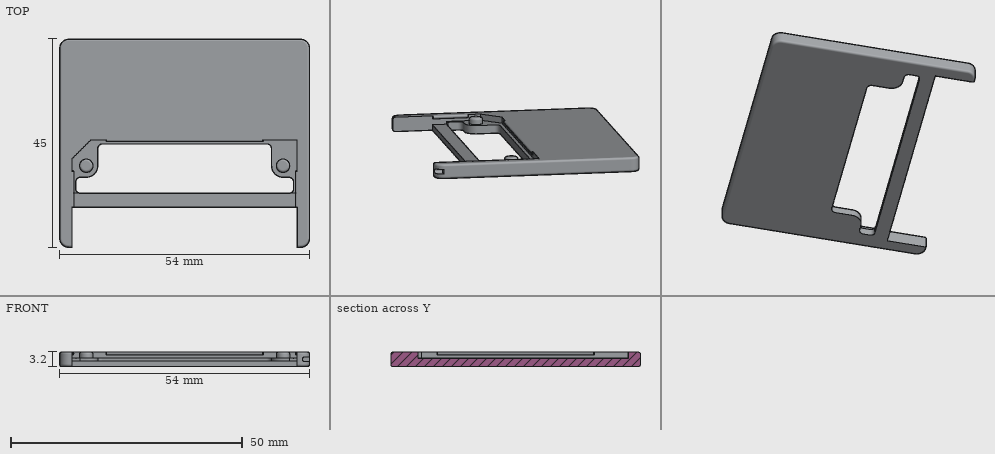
import cadquery as cq

WIDTH = 54.0
DEPTH = 45.0
THICKNESS = 3.2
CORNER_RADIUS = 2.0
RIM_FILLET = 0.5

BAY_HALF_WIDTH = 24.3
BAY_BACK_Y = 0.7
BAY_CORNER_CUT = 4.0
FLOOR_Z = 1.85

BAR_FRONT_Y = -13.85
BAR_BACK_Y = -10.75
BAR_HEIGHT = 1.25

PIN_X = 21.25
PIN_Y = -4.85
PIN_DIAMETER = 2.9
PIN_TIP_FILLET = 0.5
TAB_RADIUS = 2.5

WINDOW_BACK_Y = -0.15
WINDOW_HALF_WIDTH = 23.5
WINDOW_BACK_RADIUS = 1.0
WINDOW_SIDE_RADIUS = 1.0
WINDOW_FRONT_RADIUS = 0.9

BEAD_RADIUS = 0.35
BEAD_END_CHAMFER = 0.15
BACK_BEAD_LENGTH = 34.0
SIDE_BEAD_BACK_Y = -5.9

NOTCH_HEIGHT = 1.0
NOTCH_INNER_X = 25.4
NOTCH_DEPTH = 1.8

FRONT_Y = -DEPTH / 2
BEAD_Z = THICKNESS - BEAD_RADIUS


def make_plate():
    """Rounded rectangular plate with softened top and bottom rims."""
    plate = cq.Workplane("XY").box(WIDTH, DEPTH, THICKNESS, centered=(True, True, False))
    plate = plate.edges("|Z").fillet(CORNER_RADIUS)
    return plate.faces("<Z or >Z").edges().fillet(RIM_FILLET)


def make_block(y_front, y_back, z_bottom):
    """Cutter as wide as the bay, reaching from z_bottom to the plate top."""
    return cq.Workplane("XY").box(
        2 * BAY_HALF_WIDTH, y_back - y_front, THICKNESS - z_bottom, centered=(True, False, False)
    ).translate((0, y_front, z_bottom))


def make_bay():
    """Space above the floor, over the bar, and in front of the bar."""
    recess = make_block(FRONT_Y, BAY_BACK_Y, FLOOR_Z).edges("|Z and <X and >Y").chamfer(BAY_CORNER_CUT)
    above_bar = make_block(FRONT_Y, BAR_BACK_Y, BAR_HEIGHT)
    before_bar = make_block(FRONT_Y, BAR_FRONT_Y, 0)
    return recess.union(above_bar).union(before_bar)


def make_window():
    """Opening behind the bar, narrowed at the back by the two pin tabs."""
    tab_inner_x = PIN_X - TAB_RADIUS
    tab_front_y = PIN_Y - TAB_RADIUS
    window = (
        cq.Workplane("XY")
        .moveTo(-WINDOW_HALF_WIDTH, BAR_BACK_Y)
        .lineTo(WINDOW_HALF_WIDTH, BAR_BACK_Y)
        .lineTo(WINDOW_HALF_WIDTH, tab_front_y)
        .lineTo(tab_inner_x, tab_front_y)
        .lineTo(tab_inner_x, WINDOW_BACK_Y)
        .lineTo(-tab_inner_x, WINDOW_BACK_Y)
        .lineTo(-tab_inner_x, tab_front_y)
        .lineTo(-WINDOW_HALF_WIDTH, tab_front_y)
        .close()
        .extrude(FLOOR_Z)
    )

    def round_corners(body, x, y, radius):
        for side in (-1, 1):
            corner = cq.selectors.NearestToPointSelector((side * x, y, FLOOR_Z / 2))
            body = body.edges(corner).fillet(radius)
        return body

    window = round_corners(window, tab_inner_x, tab_front_y, TAB_RADIUS)
    window = round_corners(window, tab_inner_x, WINDOW_BACK_Y, WINDOW_BACK_RADIUS)
    window = round_corners(window, WINDOW_HALF_WIDTH, tab_front_y, WINDOW_SIDE_RADIUS)
    return round_corners(window, WINDOW_HALF_WIDTH, BAR_BACK_Y, WINDOW_FRONT_RADIUS)


def make_pin(x):
    """Pin standing on the floor, flush with the plate top, with a rounded tip."""
    pin = cq.Workplane("XY").circle(PIN_DIAMETER / 2).extrude(THICKNESS - FLOOR_Z)
    return pin.faces(">Z").edges().fillet(PIN_TIP_FILLET).translate((x, PIN_Y, FLOOR_Z))


def make_bead(length):
    """Half-round bar centred along X, bulging toward -Y from a flat back at Y = 0."""
    bead = (
        cq.Workplane("YZ")
        .moveTo(0, BEAD_RADIUS)
        .threePointArc((-BEAD_RADIUS, 0), (0, -BEAD_RADIUS))
        .close()
        .extrude(length / 2, both=True)
    )
    return bead.faces("<X or >X").edges("%CIRCLE").chamfer(BEAD_END_CHAMFER)


def make_beads():
    """One bead on the back wall and one on the inner face of each arm."""
    side_length = SIDE_BEAD_BACK_Y - BAR_FRONT_Y
    side_y = (SIDE_BEAD_BACK_Y + BAR_FRONT_Y) / 2
    beads = make_bead(BACK_BEAD_LENGTH).translate((0, BAY_BACK_Y, BEAD_Z))
    for side in (-1, 1):
        bead = make_bead(side_length).rotate((0, 0, 0), (0, 0, 1), -90 * side)
        beads = beads.add(bead.translate((side * BAY_HALF_WIDTH, side_y, BEAD_Z)))
    return beads.combine()


def make_notch():
    """Slot at mid thickness, open to the front and to the +X side of the arm tip."""
    length = 2 * (WIDTH / 2 - NOTCH_INNER_X)
    return (
        cq.Workplane("XZ", origin=(WIDTH / 2, FRONT_Y, THICKNESS / 2))
        .slot2D(length, NOTCH_HEIGHT)
        .extrude(-NOTCH_DEPTH)
    )


result = make_plate().cut(make_bay()).cut(make_window())
for pin_x in (-PIN_X, PIN_X):
    result = result.union(make_pin(pin_x))
result = result.union(make_beads()).cut(make_notch())